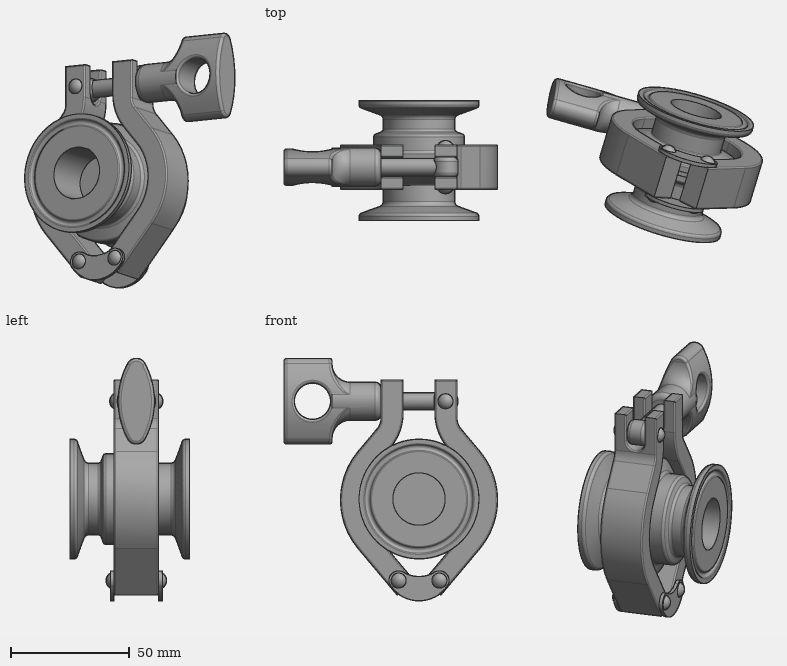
import cadquery as cq
import math


flange_radius = 25.3
rim_thickness = 1.7
rim_fillet = 1.5
cone_angle = 20
neck_radius = 15.1
neck_fillet = 2.0
housing_radius = 19.1
front_face = -22.5
back_face = 28.0
bore_radius = 11.0
bore_depth = 22.5
seal_groove_mid_radius = 21.7
seal_groove_radius = 1.2
seal_groove_lip = 0.5
joint_rim_half = 3.8
joint_neck_fillet = 0.4
joint_rim_fillet = 0.7
gasket_radius = 25.1
gasket_half = 0.9
housing_back = 13.7
shoulder_fillet = 1.3

arm_outer_radius = 31.8
arm_center = (1.3, -0.4)
arm_thickness = 9.4
arm_half_depth = 9.4
arm_edge_fillet = 0.6
arm_outer_x = 16.0
arm_top = 50.2
tangent_angle = 40
arm_tail = 25.7
outer_bend_radius = 6.6
inner_bend_radius = 22.5
fork_half_gap = 4.2
fork_floor_center_z = 38.6

rivet_radius = 3.2
rivet_dome_height = 1.8
link_pin_x = 8.6
link_pin_z = -34.3
link_end_radius = 4.1
link_thickness = 1.5
link_bottom = -42.9
link_waist = -32.6

bolt_z = 41.2
bolt_radius = 3.7
barrel_x = 11.1
barrel_radius = 5.3
barrel_fillet = 1.7

knob_left = -56.9
knob_shoulder = -36.6
knob_half_height = 18.1
knob_half_width = 7.7
knob_side_radius = 33.7
knob_edge_fillet = 1.2
hub_radius = 8.1
hub_end_fillet = 2.6
flare_radius = 7.6
knob_hole_x = -44.9
knob_hole_radius = 7.6
knob_hole_fillet = 1.0


def on_circle(radius, degrees, center=(0, 0)):
    turn = math.radians(degrees)
    return (center[0] + radius * math.cos(turn), center[1] + radius * math.sin(turn))


def rise(radial_distance):
    """Distance along the axis that a flange cone covers over a radial distance."""
    return radial_distance * math.tan(math.radians(cone_angle))


def disc_along_y(radius, y_start, y_end):
    """Cylinder on the bore axis between two Y positions."""
    return cq.Workplane("XZ", origin=(0, y_start, 0)).circle(radius).extrude(y_start - y_end)


def revolve_about_bore(points):
    return cq.Workplane("XY").polyline(points).close().revolve(360, (0, 0, 0), (0, 1, 0))


def ring_at(y):
    """Selector of the circular edges lying at one Y position."""
    reach = 2 * flange_radius
    slack = 0.05
    return cq.selectors.BoxSelector(
        (-reach, y - slack, -reach), (reach, y + slack, reach), boundingbox=True
    )


def make_ferrule(face, inward):
    """End flange with its cone and neck; inward is the Y direction from the face to the clamp."""
    rim_end = face + inward * (rim_thickness + rim_fillet * 0.7)
    cone_end = rim_end + inward * rise(flange_radius - neck_radius)
    profile = [
        (0, face),
        (flange_radius, face),
        (flange_radius, rim_end),
        (neck_radius, cone_end),
        (neck_radius, 0),
        (0, 0),
    ]
    ferrule = revolve_about_bore(profile)
    ferrule = ferrule.edges(ring_at(rim_end)).fillet(rim_fillet)
    return ferrule.edges(ring_at(cone_end)).fillet(neck_fillet)


def make_clamped_joint():
    """Two flanges pressed onto a gasket inside the clamp, and the valve housing behind them."""
    neck_corner = -joint_rim_half - rise(flange_radius - neck_radius)
    housing_front = joint_rim_half + rise(flange_radius - housing_radius)
    shoulder_end = housing_back + rise(housing_radius - neck_radius)
    profile = [
        (0, front_face / 2),
        (neck_radius, front_face / 2),
        (neck_radius, neck_corner),
        (flange_radius, -joint_rim_half),
        (flange_radius, -gasket_half),
        (gasket_radius, -gasket_half),
        (gasket_radius, gasket_half),
        (flange_radius, gasket_half),
        (flange_radius, joint_rim_half),
        (housing_radius, housing_front),
        (housing_radius, housing_back),
        (neck_radius, shoulder_end),
        (neck_radius, back_face * 0.7),
        (0, back_face * 0.7),
    ]
    joint = revolve_about_bore(profile)
    fillets = (
        (neck_corner, joint_neck_fillet),
        (-joint_rim_half, joint_rim_fillet),
        (joint_rim_half, joint_rim_fillet),
        (housing_front, rim_fillet),
        (housing_back, shoulder_fillet),
        (shoulder_end, shoulder_fillet),
    )
    for y, radius in fillets:
        joint = joint.edges(ring_at(y)).fillet(radius)
    return joint


def make_seal_groove(face, inward):
    """Ring-shaped cutter with a round floor that blends into the flange face over rounded lips."""
    lip_reach = seal_groove_radius + seal_groove_lip
    lip_offset = math.sqrt(lip_reach**2 - seal_groove_lip**2)
    lip_turn = math.degrees(math.asin(seal_groove_lip / lip_reach))
    lip_center = (lip_offset, seal_groove_lip)
    lip_mid = on_circle(seal_groove_lip, 225 + lip_turn / 2, lip_center)
    lip_end = on_circle(seal_groove_radius, lip_turn)

    def place(point, side=1):
        return (seal_groove_mid_radius + side * point[0], face + inward * point[1])

    return (
        cq.Workplane("XY")
        .moveTo(*place((lip_offset, 0)))
        .threePointArc(place(lip_mid), place(lip_end))
        .threePointArc(place((0, seal_groove_radius)), place(lip_end, -1))
        .threePointArc(place(lip_mid, -1), place((lip_offset, 0), -1))
        .close()
        .revolve(360, (0, 0, 0), (0, 1, 0))
    )


def make_fitting():
    fitting = make_clamped_joint()
    for face, inward in ((front_face, 1), (back_face, -1)):
        fitting = fitting.union(make_ferrule(face, inward))
    for face, inward in ((front_face, 1), (back_face, -1)):
        fitting = fitting.cut(make_seal_groove(face, inward))
        fitting = fitting.cut(disc_along_y(bore_radius, face, face + inward * bore_depth))
    return fitting


def make_right_arm():
    """Arm with a forked prong, a bend, an arc around the flanges and a straight tail."""
    inner_radius = arm_outer_radius - arm_thickness
    arm_inner_x = arm_outer_x - arm_thickness
    lean = math.radians(tangent_angle)
    center_x, center_z = arm_center

    def ring(radius, degrees):
        return on_circle(radius, degrees, arm_center)

    def tail_end(radius):
        x, z = ring(radius, -tangent_angle)
        return (x - arm_tail * math.sin(lean), z - arm_tail * math.cos(lean))

    def bend_points(prong_x, bend_radius, ring_radius):
        """Start, middle and end of the bend from a prong side to the tangent of a ring circle."""
        bend_x = prong_x + bend_radius
        along = (bend_x - center_x) * math.cos(lean)
        bend_z = center_z + (ring_radius + bend_radius - along) / math.sin(lean)
        turns = (180, 180 + tangent_angle / 2, 180 + tangent_angle)
        return [on_circle(bend_radius, turn, (bend_x, bend_z)) for turn in turns]

    outer_start, outer_mid, outer_end = bend_points(arm_outer_x, outer_bend_radius, arm_outer_radius)
    inner_start, inner_mid, inner_end = bend_points(arm_inner_x, inner_bend_radius, inner_radius)
    arm = (
        cq.Workplane("XZ", origin=(0, arm_half_depth, 0))
        .moveTo(arm_outer_x, arm_top)
        .lineTo(*outer_start)
        .threePointArc(outer_mid, outer_end)
        .lineTo(*ring(arm_outer_radius, tangent_angle))
        .threePointArc(ring(arm_outer_radius, 0), ring(arm_outer_radius, -tangent_angle))
        .lineTo(*tail_end(arm_outer_radius))
        .lineTo(*tail_end(inner_radius))
        .lineTo(*ring(inner_radius, -tangent_angle))
        .threePointArc(ring(inner_radius, 0), ring(inner_radius, tangent_angle))
        .lineTo(*inner_end)
        .threePointArc(inner_mid, inner_start)
        .lineTo(arm_inner_x, arm_top)
        .close()
        .extrude(2 * arm_half_depth)
    )
    fork_gap = (
        cq.Workplane("YZ")
        .moveTo(-fork_half_gap, arm_top)
        .lineTo(-fork_half_gap, fork_floor_center_z)
        .threePointArc((0, fork_floor_center_z - fork_half_gap), (fork_half_gap, fork_floor_center_z))
        .lineTo(fork_half_gap, arm_top)
        .close()
        .extrude(arm_outer_radius)
    )
    arm = arm.cut(fork_gap)
    return arm.faces("|Y").edges("(not |X) or >Z").fillet(arm_edge_fillet)


def make_rivet(x, z, seat):
    """Domed head on the front face and on the back face, each standing on the given |Y| seat."""
    dome_radius = (rivet_radius**2 + rivet_dome_height**2) / (2 * rivet_dome_height)
    tip = seat + rivet_dome_height
    dome = cq.Workplane("XY").sphere(dome_radius)
    pin = cq.Workplane("XZ", origin=(0, tip, 0)).circle(rivet_radius).extrude(2 * tip)
    front = pin.intersect(dome.translate((0, dome_radius - tip, 0)))
    heads = front.union(front.mirror("XZ"))
    return heads.translate((x, 0, z))


def make_link_plate():
    """Front link plate: rounded ends on the two rivets, bulging bottom and hollow waist."""
    drop = link_pin_z - link_bottom
    bottom_radius = (link_pin_x**2 + drop**2 - link_end_radius**2) / (2 * (drop - link_end_radius))
    bottom_center = link_bottom + bottom_radius
    lift = link_waist - link_pin_z
    waist_radius = (link_pin_x**2 + lift**2 - link_end_radius**2) / (2 * (link_end_radius - lift))
    waist_center = link_waist + waist_radius

    bottom_turn = math.degrees(math.atan2(link_pin_z - bottom_center, link_pin_x))
    waist_turn = math.degrees(math.atan2(waist_center - link_pin_z, -link_pin_x))
    pin = (link_pin_x, link_pin_z)
    low_x, low_z = on_circle(link_end_radius, bottom_turn, pin)
    end_mid = on_circle(link_end_radius, (bottom_turn + waist_turn) / 2, pin)
    high_x, high_z = on_circle(link_end_radius, waist_turn, pin)
    return (
        cq.Workplane("XZ", origin=(0, -arm_half_depth, 0))
        .moveTo(-low_x, low_z)
        .threePointArc((0, link_bottom), (low_x, low_z))
        .threePointArc(end_mid, (high_x, high_z))
        .threePointArc((0, link_waist), (-high_x, high_z))
        .threePointArc((-end_mid[0], end_mid[1]), (-low_x, low_z))
        .close()
        .extrude(link_thickness)
    )


def make_clamp():
    right_arm = make_right_arm()
    front_link = make_link_plate()
    clamp = right_arm.union(right_arm.mirror("YZ"))
    clamp = clamp.union(front_link).union(front_link.mirror("XZ"))
    for x in (-link_pin_x, link_pin_x):
        clamp = clamp.union(make_rivet(x, link_pin_z, arm_half_depth + link_thickness))
    return clamp.union(make_rivet(barrel_x, bolt_z, arm_half_depth))


def cylinder_along_x(radius, x_start, x_end):
    return cq.Workplane("YZ", origin=(x_start, 0, bolt_z)).circle(radius).extrude(x_end - x_start)


def make_swing_bolt():
    barrel = (
        cq.Workplane("XZ", origin=(barrel_x, fork_half_gap, bolt_z))
        .circle(barrel_radius)
        .extrude(2 * fork_half_gap)
        .edges()
        .fillet(barrel_fillet)
    )
    pivot = (
        cq.Workplane("XZ", origin=(barrel_x, arm_half_depth, bolt_z))
        .circle(rivet_radius)
        .extrude(2 * arm_half_depth)
    )
    return barrel.union(pivot).union(cylinder_along_x(bolt_radius, -arm_outer_x - 1, barrel_x))


def make_wing():
    """Lens-section grip whose right end flares down to the hub about the bolt axis."""
    offset = knob_side_radius - knob_half_width
    reach = knob_side_radius - knob_half_height
    tip_center = (offset**2 - reach**2) / (2 * reach)
    tip_radius = knob_half_height - tip_center
    touch = math.degrees(math.atan2(tip_center, offset))
    touch_y, touch_z = on_circle(knob_side_radius, touch, (-offset, 0))
    hub_start = knob_shoulder + flare_radius

    lens = (
        cq.Workplane("YZ", origin=(knob_left, 0, bolt_z))
        .moveTo(touch_y, -touch_z)
        .threePointArc((knob_half_width, 0), (touch_y, touch_z))
        .threePointArc((0, tip_center + tip_radius), (-touch_y, touch_z))
        .threePointArc((-knob_half_width, 0), (-touch_y, -touch_z))
        .threePointArc((0, -tip_center - tip_radius), (touch_y, -touch_z))
        .close()
        .extrude(hub_start - knob_left)
    )
    flare_center = (hub_start, hub_radius + flare_radius)
    flare = (
        cq.Workplane("XZ", origin=(0, 0, bolt_z))
        .moveTo(knob_left, 0)
        .lineTo(hub_start, 0)
        .lineTo(hub_start, hub_radius)
        .threePointArc(
            on_circle(flare_radius, 225, flare_center), (knob_shoulder, hub_radius + flare_radius)
        )
        .lineTo(knob_shoulder, 2 * knob_half_height)
        .lineTo(knob_left, 2 * knob_half_height)
        .close()
        .revolve(360, (0, 0, 0), (1, 0, 0))
    )
    hole = (
        cq.Workplane("XZ", origin=(knob_hole_x, knob_half_width, bolt_z))
        .circle(knob_hole_radius)
        .extrude(2 * knob_half_width)
    )
    wing = lens.intersect(flare)
    flare_edges = cq.selectors.BoxSelector(
        (knob_shoulder - 0.1, -knob_half_width, bolt_z - knob_half_height),
        (hub_start - 0.1, knob_half_width, bolt_z + knob_half_height),
    )
    wing = wing.edges(flare_edges).fillet(knob_edge_fillet)
    wing = wing.faces("<X").edges().fillet(knob_edge_fillet)
    wing = wing.cut(hole)
    hole_rims = cq.selectors.BoxSelector(
        (knob_hole_x - 9.2, -9.2, bolt_z - 9.2), (knob_hole_x + 9.2, 9.2, bolt_z + 9.2), boundingbox=True
    )
    return wing.edges(hole_rims).fillet(knob_hole_fillet)


def make_knob():
    hub = cylinder_along_x(hub_radius, knob_shoulder, -arm_outer_x).faces(">X").edges().fillet(hub_end_fillet)
    return make_wing().union(hub)


result = make_fitting().union(make_clamp()).union(make_swing_bolt()).union(make_knob())